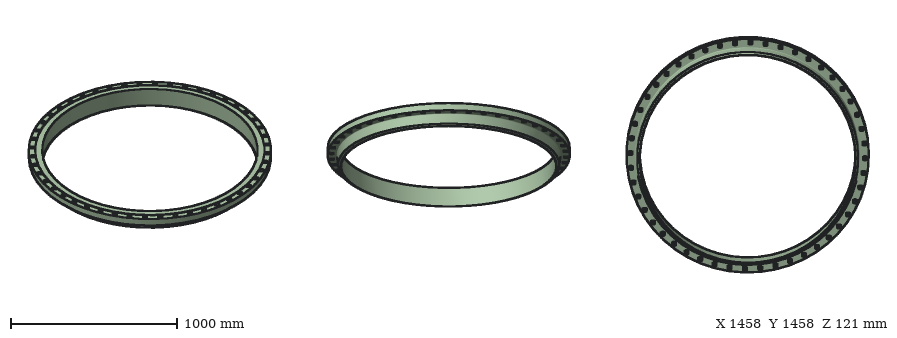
import cadquery as cq

outer_radius = 729.0
bore_radius = 647.0
total_height = 121.0

flange_thickness = 50.0
face_radius = 690.0
face_step = 3.0

fillet_radius = 5.0
hub_top_radius = 672.0
hub_bottom_radius = 665.0
bevel_height = 10.0
lip_width = 3.0

bolt_count = 48
bolt_circle_radius = 705.0
bolt_hole_diameter = 25.0

flange_bottom = total_height - flange_thickness
rim_top = total_height - face_step
hub_top = flange_bottom - fillet_radius
lip_radius = bore_radius + lip_width


def ring_body():
    """Half section in radius and height, revolved about the vertical axis."""
    section = (
        cq.Workplane("XZ")
        .moveTo(bore_radius, 0)
        .lineTo(lip_radius, 0)
        .lineTo(hub_bottom_radius, bevel_height)
        .lineTo(hub_top_radius, hub_top)
        .radiusArc((hub_top_radius + fillet_radius, flange_bottom), fillet_radius)
        .lineTo(outer_radius, flange_bottom)
        .lineTo(outer_radius, rim_top)
        .lineTo(face_radius, rim_top)
        .lineTo(face_radius, total_height)
        .lineTo(bore_radius, total_height)
        .close()
    )
    return section.revolve(360, (0, 0, 0), (0, 1, 0))


def bolt_holes():
    """Evenly spaced cylinders running through the flange."""
    return (
        cq.Workplane("XY")
        .workplane(offset=flange_bottom)
        .polarArray(bolt_circle_radius, 0, 360, bolt_count)
        .circle(bolt_hole_diameter / 2)
        .extrude(flange_thickness)
    )


result = ring_body().cut(bolt_holes())